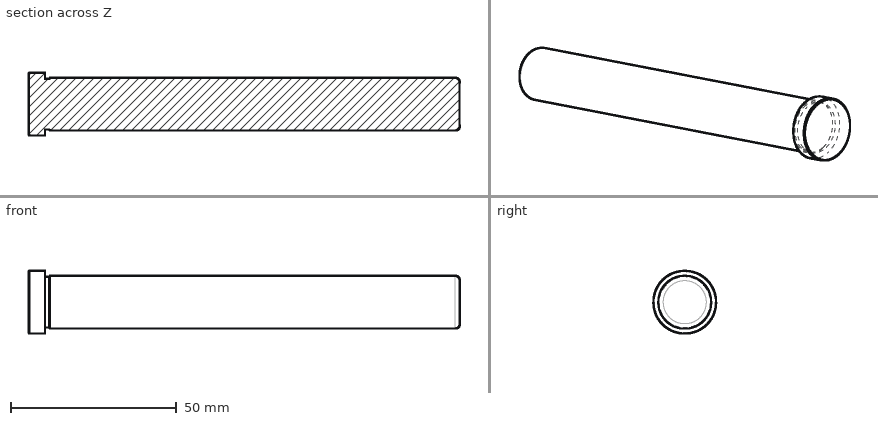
import cadquery as cq

total_length = 130.0
head_diameter = 19.0
head_thickness = 5.0
head_chamfer = 0.3
shaft_diameter = 16.0

groove_depth = 0.3
groove_length = 1.2
groove_taper_length = groove_depth


tip_radius = 1.5

head_radius = head_diameter / 2
shaft_radius = shaft_diameter / 2
groove_radius = shaft_radius - groove_depth
groove_end = head_thickness + groove_length
shaft_start = groove_end + groove_taper_length


def headed_pin():
    """Revolve the half outline about the X axis; the head face lies at X = 0."""
    outline = (
        cq.Workplane("XZ")
        .moveTo(0, 0)
        .lineTo(0, head_radius - head_chamfer)
        .lineTo(head_chamfer, head_radius)
        .lineTo(head_thickness, head_radius)
        .lineTo(head_thickness, groove_radius)
        .lineTo(groove_end, groove_radius)
        .lineTo(shaft_start, shaft_radius)
        .lineTo(total_length - tip_radius, shaft_radius)
        .radiusArc((total_length, shaft_radius - tip_radius), tip_radius)
        .lineTo(total_length, 0)
        .close()
    )
    return outline.revolve(360, (0, 0, 0), (1, 0, 0))


result = headed_pin()